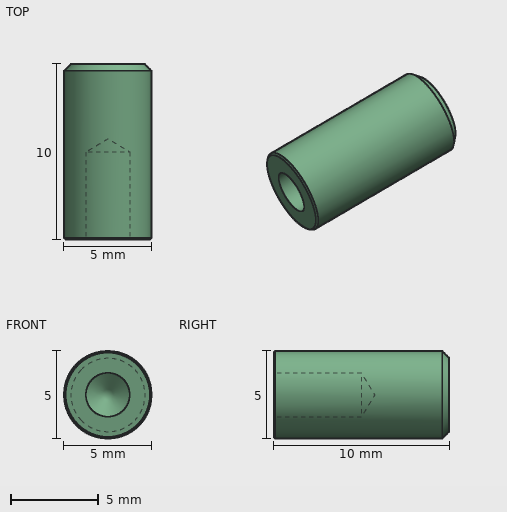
import cadquery as cq
import math

length = 10.0
diameter = 5.0
front_chamfer = 0.1
back_chamfer = 0.4

hole_diameter = 2.5
hole_depth = 5.0
drill_point_angle = 118.0

radius = diameter / 2
hole_radius = hole_diameter / 2
point_depth = hole_radius / math.tan(math.radians(drill_point_angle / 2))
front_y = -length / 2
back_y = length / 2
hole_end_y = front_y + hole_depth

half_section = (
    cq.Workplane("XY")
    .moveTo(hole_radius, front_y)
    .lineTo(radius - front_chamfer, front_y)
    .lineTo(radius, front_y + front_chamfer)
    .lineTo(radius, back_y - back_chamfer)
    .lineTo(radius - back_chamfer, back_y)
    .lineTo(0, back_y)
    .lineTo(0, hole_end_y + point_depth)
    .lineTo(hole_radius, hole_end_y)
    .close()
)

result = half_section.revolve(360, (0, 0, 0), (0, 1, 0))